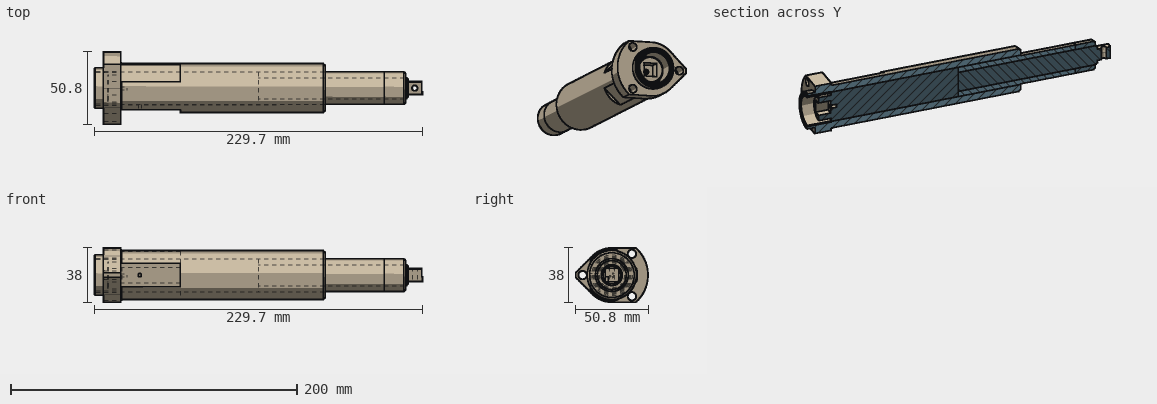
import cadquery as cq
import math

TOTAL_LENGTH = 229.7

SPIGOT_R = 14.2
SPIGOT_CHAMFER = 1.0
FLANGE_START = 6.5
FLANGE_END = 18.8
FLANGE_WIDTH = 50.8
FLANGE_OUTER_R = FLANGE_WIDTH / 2
FLANGE_HALF_HEIGHT = 19.0
POINT_SLOPE = 45.0
TUBE_R = 17.2
TUBE_END = 161.7
TUBE_END_CHAMFER = 1.5
TUBE_ROOT_CHAMFER = 0.7
MAIN_BORE_R = 11.5

SIDE_ANGLE = 46.6
STATION_ANGLES = (180.0, SIDE_ANGLE, -SIDE_ANGLE)
BOLT_CIRCLE_R = 20.5
BOLT_HOLE_DIAMETER = 5.7
FLAT_DISTANCE = 15.2
FLAT_END = 60.5
OIL_HOLE_X = 32.0
OIL_HOLE_R = 1.1

BUSHING_OUTER_R = 12.0
BUSHING_INNER_R = 11.0
MOUTH_CHAMFER = 0.7

NOSE_R = 9.5
NOSE_START = 9.2
NOSE_CHAMFER = 0.7
COUPLING_END = 114.9
SOCKET_DEPTH = 9.2
SOCKET_HOLE_R = 1.03
SOCKET_HOLE_DEPTH = 4.5
SOCKET_COUNTERSINK = 0.7

SLEEVE_END = 202.9
CAP_END = 218.0
CAP_CHAMFER = 1.4
SHAFT_R = 7.4
SHAFT_END = 219.6
SHAFT_CHAMFER = 1.1
SQUARE_SIDE = 9.5
SQUARE_EDGE_CHAMFER = 0.5
DETENT_HOLE_X = 224.2
DETENT_HOLE_R = 1.8
TAB_LENGTH = 0.5
TAB_WIDTH = 2.3
TAB_HEIGHT = 3.7


def rod(start, end, radius):
    """Cylinder on the tool axis from x = start to x = end."""
    return cq.Workplane("YZ", origin=(start, 0, 0)).circle(radius).extrude(end - start)


def cone(start, end, start_radius, end_radius):
    """Truncated cone on the tool axis, used for chamfers and countersinks."""
    base = cq.Vector(start, 0, 0)
    along_x = cq.Vector(1, 0, 0)
    return cq.Workplane(cq.Solid.makeCone(start_radius, end_radius, end - start, base, along_x))


def tube(start, end, outer_radius, inner_radius):
    """Hollow cylinder on the tool axis."""
    return rod(start, end, outer_radius).cut(rod(start, end, inner_radius))


def square_bar(start, end):
    """Square bar on the tool axis with the size of the drive square."""
    return cq.Workplane("YZ", origin=(start, 0, 0)).rect(SQUARE_SIDE, SQUARE_SIDE).extrude(end - start)


def flange():
    """Plate with a round back (+Y), two level sides and a blunt 45 degree point (-Y)."""
    half = FLANGE_HALF_HEIGHT
    outer = FLANGE_OUTER_R
    corner_y = math.sqrt(outer**2 - half**2)
    slope = math.radians(POINT_SLOPE)
    tangent_y = -half * math.sin(slope)
    tangent_z = half * math.cos(slope)
    tip_angle = math.pi / 2 - slope - math.acos(half / outer)
    tip_y = -outer * math.cos(tip_angle)
    tip_z = outer * math.sin(tip_angle)
    arc_mid = slope / 2
    mid_y = -half * math.sin(arc_mid)
    mid_z = half * math.cos(arc_mid)
    plate = (
        cq.Workplane("YZ", origin=(FLANGE_START, 0, 0))
        .moveTo(corner_y, half)
        .lineTo(0, half)
        .threePointArc((mid_y, mid_z), (tangent_y, tangent_z))
        .lineTo(tip_y, tip_z)
        .threePointArc((-outer, 0), (tip_y, -tip_z))
        .lineTo(tangent_y, -tangent_z)
        .threePointArc((mid_y, -mid_z), (0, -half))
        .lineTo(corner_y, -half)
        .threePointArc((outer, 0), (corner_y, half))
        .close()
        .extrude(FLANGE_END - FLANGE_START)
    )
    for angle in STATION_ANGLES:
        hole = rod(FLANGE_START, FLANGE_END, BOLT_HOLE_DIAMETER / 2).translate((0, BOLT_CIRCLE_R, 0))
        plate = plate.cut(hole.rotate((0, 0, 0), (1, 0, 0), angle))
    return plate


def tube_flat(angle):
    """Block that planes one flat on the tube, behind the flange."""
    block = cq.Workplane("XY").box(
        FLAT_END - FLANGE_END, TUBE_R, 2 * TUBE_R, centered=(False, False, True)
    )
    block = block.translate((FLANGE_END, FLAT_DISTANCE, 0))
    return block.rotate((0, 0, 0), (1, 0, 0), angle)


def housing_body():
    """Spigot, flange and flatted tube in one piece, bored through along the axis."""
    spigot = rod(0, FLANGE_START, SPIGOT_R).faces("<X").chamfer(SPIGOT_CHAMFER)
    barrel = rod(FLANGE_END, TUBE_END, TUBE_R).faces(">X").chamfer(TUBE_END_CHAMFER)
    root = cone(FLANGE_END, FLANGE_END + TUBE_ROOT_CHAMFER, TUBE_R + TUBE_ROOT_CHAMFER, TUBE_R)
    barrel = barrel.union(root)
    for angle in STATION_ANGLES:
        barrel = barrel.cut(tube_flat(angle))
    body = spigot.union(flange()).union(barrel)
    body = body.cut(rod(0, TUBE_END, MAIN_BORE_R))
    body = body.cut(rod(0, FLANGE_END, BUSHING_OUTER_R))
    body = body.cut(cone(0, MOUTH_CHAMFER, BUSHING_OUTER_R + MOUTH_CHAMFER, BUSHING_OUTER_R))
    oil_hole = cq.Workplane("XZ", origin=(OIL_HOLE_X, 0, 0)).circle(OIL_HOLE_R).extrude(TUBE_R)
    return body.cut(oil_hole)


def bushing_body():
    """Ring pressed into the mouth of the housing."""
    return tube(MOUTH_CHAMFER, FLANGE_END, BUSHING_OUTER_R, BUSHING_INNER_R)


def coupling_body():
    """Input shaft whose nose carries the square socket and stands clear of the bushing."""
    nose = rod(NOSE_START, FLANGE_END, NOSE_R).faces("<X").chamfer(NOSE_CHAMFER)
    body = nose.union(rod(FLANGE_END, COUPLING_END, MAIN_BORE_R))
    floor = NOSE_START + SOCKET_DEPTH
    socket = square_bar(NOSE_START, floor)
    hole = rod(floor, floor + SOCKET_HOLE_DEPTH, SOCKET_HOLE_R)
    countersink = cone(floor, floor + SOCKET_COUNTERSINK, SOCKET_HOLE_R + SOCKET_COUNTERSINK, SOCKET_HOLE_R)
    return body.cut(socket).cut(hole).cut(countersink)


def sleeve_body():
    """Tube that extends from the output end of the housing."""
    return tube(COUPLING_END, SLEEVE_END, MAIN_BORE_R, SHAFT_R)


def cap_body():
    """Chamfered collar at the end of the sleeve, flush with it."""
    cap = rod(SLEEVE_END, CAP_END, MAIN_BORE_R).faces(">X").chamfer(CAP_CHAMFER)
    return cap.cut(rod(SLEEVE_END, CAP_END, SHAFT_R))


def drive_body():
    """Output shaft with a square drive end, a cross hole and a small tab on its end face."""
    shaft = rod(COUPLING_END, SHAFT_END, SHAFT_R).faces(">X").chamfer(SHAFT_CHAMFER)
    square_end = TOTAL_LENGTH - TAB_LENGTH
    full_bar = square_bar(CAP_END, TOTAL_LENGTH).edges("|X").chamfer(SQUARE_EDGE_CHAMFER)
    square = full_bar.intersect(square_bar(CAP_END, square_end))
    tab = cq.Workplane("XY").box(TAB_LENGTH, TAB_WIDTH, TAB_HEIGHT, centered=False)
    tab = tab.translate((square_end, -SQUARE_SIDE / 2, -SQUARE_SIDE / 2)).intersect(full_bar)
    detent = cq.Workplane("XY", origin=(DETENT_HOLE_X, 0, 0)).circle(DETENT_HOLE_R)
    return shaft.union(square).union(tab).cut(detent.extrude(SQUARE_SIDE, both=True))


housing = housing_body()
bushing = bushing_body()
coupling = coupling_body()
sleeve = sleeve_body()
cap = cap_body()
drive = drive_body()

result = cq.Compound.makeCompound(
    [housing.val(), bushing.val(), coupling.val(), sleeve.val(), cap.val(), drive.val()]
)